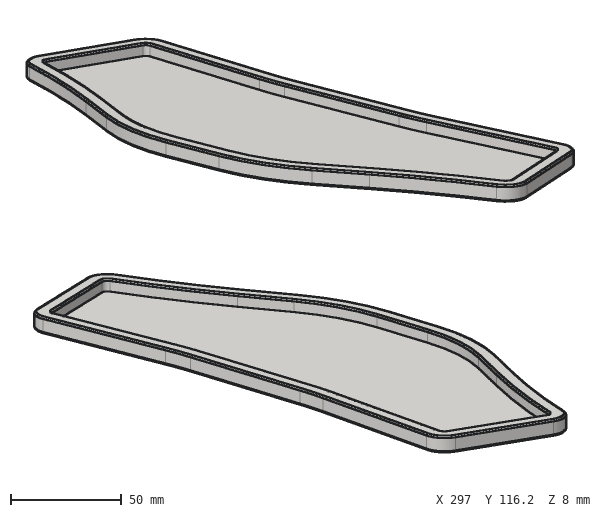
import cadquery as cq
import math

length = 297.0
width = 116.2
thickness = 8.0

rim_width = 8.0
floor_thickness = 2.0
edge_chamfer = 1.0

front_flat_half = 16.0
front_bend_radius = 99.5
flank_angle = math.radians(27.6)
flank_length = 26.7
sweep_radius = 416.0

corner_radius = 10.7
end_tilt = math.radians(17.9)

back_dip = 6.8
back_rise_angle = math.radians(4.9)
back_bend_radius = 178.2


def polar(start, distance, angle):
    """Point at a distance and direction from a start point."""
    return (start[0] + distance * math.cos(angle), start[1] + distance * math.sin(angle))


def right_half_outline():
    """Open outline of the right half, from the front to the back of the symmetry line."""
    down = -math.pi / 2

    bend_center = (front_flat_half, front_bend_radius)
    bend_end = polar(bend_center, front_bend_radius, down + flank_angle)
    flank_end = polar(bend_end, flank_length, flank_angle)

    sweep_center = polar(flank_end, sweep_radius, down + flank_angle)
    front_corner_x = length / 2 - corner_radius
    center_distance = sweep_radius + corner_radius
    front_corner_run = front_corner_x - sweep_center[0]
    front_corner_y = sweep_center[1] + math.sqrt(center_distance**2 - front_corner_run**2)
    front_corner = (front_corner_x, front_corner_y)
    sweep_end_angle = math.acos(front_corner_run / center_distance)
    sweep_end = polar(sweep_center, sweep_radius, sweep_end_angle)

    back_corner_y = width - corner_radius
    back_corner_x = front_corner_x - (back_corner_y - front_corner_y) * math.tan(end_tilt)
    back_corner = (back_corner_x, back_corner_y)
    end_start = polar(front_corner, corner_radius, end_tilt)
    end_finish = polar(back_corner, corner_radius, end_tilt)
    rise_start = polar(back_corner, corner_radius, math.pi / 2 + back_rise_angle)

    back_flat_y = width - back_dip
    knee_x = rise_start[0] - (rise_start[1] - back_flat_y) / math.tan(back_rise_angle)
    knee = (knee_x, back_flat_y)
    bend_reach = back_bend_radius * math.tan(back_rise_angle / 2)
    rise_end = polar(knee, bend_reach, back_rise_angle)
    back_flat_end = (knee_x - bend_reach, back_flat_y)

    return (
        cq.Workplane("XY")
        .lineTo(front_flat_half, 0)
        .tangentArcPoint(bend_end, relative=False)
        .lineTo(*flank_end)
        .tangentArcPoint(sweep_end, relative=False)
        .tangentArcPoint(end_start, relative=False)
        .lineTo(*end_finish)
        .tangentArcPoint(rise_start, relative=False)
        .lineTo(*rise_end)
        .tangentArcPoint(back_flat_end, relative=False)
        .lineTo(0, back_flat_y)
    )


def plate_outline():
    """Closed outline of the plate, symmetric about X = 0."""
    return right_half_outline().mirrorY()


def make_plate():
    """Solid plate with its outer rims chamfered above and below."""
    plate = plate_outline().extrude(thickness)
    return plate.faces("<Z or >Z").edges().chamfer(edge_chamfer)


def make_pocket():
    """Pocket volume, a constant rim width inside the plate outline."""
    pocket = plate_outline().offset2D(-rim_width).extrude(thickness - floor_thickness)
    return pocket.translate((0, 0, floor_thickness))


tray = make_plate().cut(make_pocket())

pocket_mouth = tray.faces(">Z").wires(cq.selectors.LengthNthSelector(0))
result = pocket_mouth.edges().chamfer(edge_chamfer)